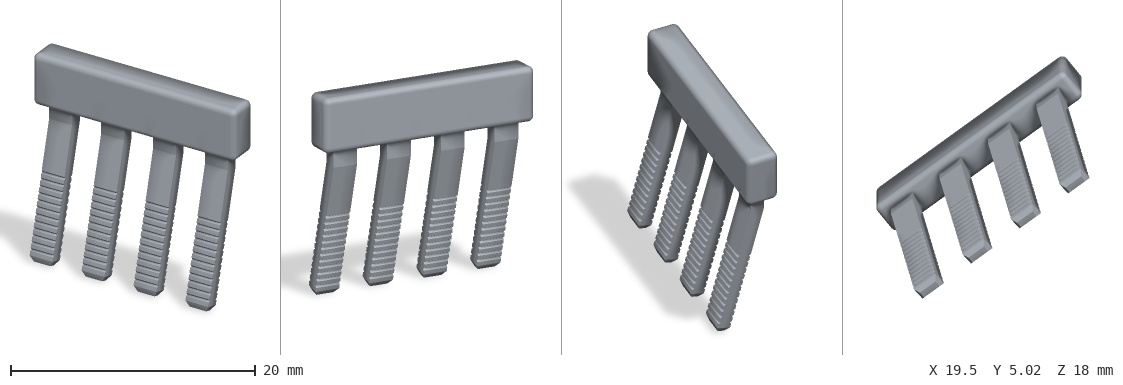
import math

import cadquery as cq

TOTAL_HEIGHT = 18.0
BAR_LENGTH = 19.5
BAR_DEPTH = 2.8
BAR_HEIGHT = 4.7
BAR_ROUND = 0.5

LEG_COUNT = 4
LEG_PITCH = 5.0
LEG_WIDTH = 2.205
LEG_THICKNESS = 1.2
LEG_EMBED = 1.0
BEND_ANGLE = 15.0

SHOULDER_DISTANCE = 11.75
TIP_LENGTH = 0.5
TIP_INSET = 0.3

GROOVE_COUNT = 12
GROOVE_PITCH = 0.6
GROOVE_WIDTH = 0.26
GROOVE_DEPTH = 0.18
FIRST_GROOVE = 4.65

HALF_THICKNESS = LEG_THICKNESS / 2
TIP_HALF_THICKNESS = HALF_THICKNESS - TIP_INSET
bend_radians = math.radians(BEND_ANGLE)
tip_drop = (
    (SHOULDER_DISTANCE + TIP_LENGTH) * math.cos(bend_radians)
    + TIP_HALF_THICKNESS * math.sin(bend_radians)
)
bend_z = BAR_HEIGHT + tip_drop - TOTAL_HEIGHT

mitre_shift = HALF_THICKNESS * math.tan(bend_radians / 2)


def make_bar():
    bar = cq.Workplane("XY").box(BAR_LENGTH, BAR_DEPTH, BAR_HEIGHT, centered=(True, True, False))
    return bar.edges().fillet(BAR_ROUND)


def make_straight_root():
    """Upright leg root, ending on the mitre plane of the bend at the origin."""
    root_top = LEG_EMBED - bend_z
    outline = [
        (-HALF_THICKNESS, root_top),
        (HALF_THICKNESS, root_top),
        (HALF_THICKNESS, -mitre_shift),
        (-HALF_THICKNESS, mitre_shift),
    ]
    return cq.Workplane("YZ").polyline(outline).close().extrude(LEG_WIDTH / 2, both=True)


def make_grooved_blade():
    """Leg below the bend, drawn hanging straight down from the mitre plane."""
    outline = [
        (-HALF_THICKNESS, -mitre_shift),
        (HALF_THICKNESS, mitre_shift),
        (HALF_THICKNESS, -SHOULDER_DISTANCE),
        (-HALF_THICKNESS, -SHOULDER_DISTANCE),
    ]
    blade = cq.Workplane("YZ").polyline(outline).close().extrude(LEG_WIDTH / 2, both=True)
    for index in range(GROOVE_COUNT):
        groove_z = -(FIRST_GROOVE + index * GROOVE_PITCH)
        for side in (-1, 1):
            blade = blade.cut(make_groove(side, groove_z))
    return blade.union(make_tip())


def make_groove(side, groove_z):
    """V-shaped cutter on the front (side -1) or back (side 1) face of a blade."""
    face_y = side * HALF_THICKNESS
    valley_y = side * (HALF_THICKNESS - GROOVE_DEPTH)
    outline = [
        (face_y, groove_z + GROOVE_WIDTH / 2),
        (valley_y, groove_z),
        (face_y, groove_z - GROOVE_WIDTH / 2),
    ]
    return cq.Workplane("YZ").polyline(outline).close().extrude(LEG_WIDTH / 2, both=True)


def make_tip():
    """Blunt point, tapering on all four sides."""
    return (
        cq.Workplane("XY", origin=(0, 0, -SHOULDER_DISTANCE))
        .rect(LEG_WIDTH, LEG_THICKNESS)
        .workplane(offset=-TIP_LENGTH)
        .rect(LEG_WIDTH - 2 * TIP_INSET, LEG_THICKNESS - 2 * TIP_INSET)
        .loft(ruled=True)
    )


def make_leg():
    blade = make_grooved_blade().rotate((0, 0, 0), (1, 0, 0), -BEND_ANGLE)
    return make_straight_root().union(blade).translate((0, 0, bend_z))


result = make_bar()
leg = make_leg()
for leg_index in range(LEG_COUNT):
    leg_x = (leg_index - (LEG_COUNT - 1) / 2) * LEG_PITCH
    result = result.union(leg.translate((leg_x, 0, 0)))